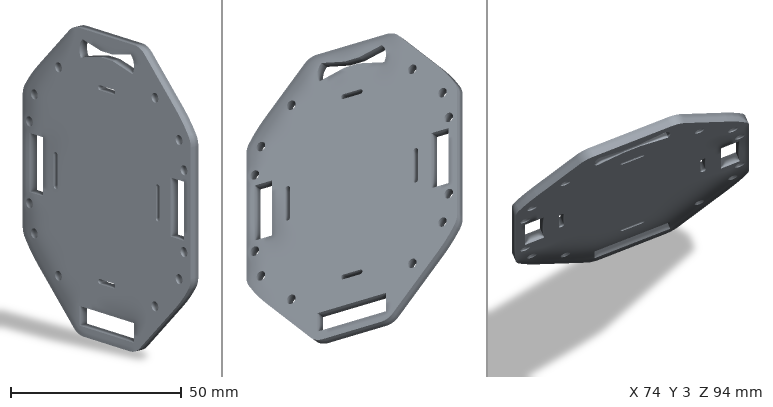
import cadquery as cq
import math

thickness = 3.0
width = 74.0
height = 94
half_width = width / 2
top_z = 46.0
bottom_z = top_z - height
corner_circle_radius = 43.0
blend_radius = 6.0
diagonal_angle = 45
vertical_angle = 90

hole_diameter = 3.0
ring_hole_near = 21.2
ring_hole_far = 31.9
side_hole_x = 34.0
side_hole_z = 12.5

side_window_width = 6.0
side_window_height = 18.05
side_window_x = 31.0
bottom_window_width = 24.0
bottom_window_height = 6.0
bottom_window_margin = 3.0

side_slot_length = 11.3
side_slot_width = 1.7
side_slot_x = 22.5
end_slot_length = 7.5
end_slot_width = 1.5
end_slot_z = 29.6

handle_waist_half_width = 2.5
handle_waist_top_z = 41.0
handle_waist_bottom_z = 39.0
handle_top_corner = (10.6, 42.8)
handle_side_point = (12.0, 39.6)
handle_bottom_corner = (11.4, 36.9)


def back_face_plane():
    """Sketch plane on the back face; extrusions run forward through the plate thickness."""
    return cq.Workplane("XZ", origin=(0, thickness / 2, 0))


def mirrored(point):
    """Reflect a point across the vertical centre line."""
    return (-point[0], point[1])


def below(point):
    """Reflect a point across the horizontal line through the origin."""
    return (point[0], -point[1])


def on_circle(center, radius, degrees):
    """Point of a circle at an angle measured from +X toward +Z."""
    angle = math.radians(degrees)
    return (center[0] + radius * math.cos(angle), center[1] + radius * math.sin(angle))


def end_blend(edge_z):
    """Arc joining a 45 degree edge to the top (edge_z > 0) or bottom edge, on the +X side.

    The returned start, middle and end points run from the 45 degree edge to the horizontal edge.
    """
    side = math.copysign(1, edge_z)
    center_z = abs(edge_z) - blend_radius
    center_x = math.sqrt(2) * (corner_circle_radius - blend_radius) - center_z
    angles = (diagonal_angle, (diagonal_angle + vertical_angle) / 2, vertical_angle)
    return [on_circle((center_x, side * center_z), blend_radius, side * angle) for angle in angles]


def side_blend():
    """Upper arc on the +X side, from the straight side to the large corner arc, and its end angle."""
    center_x = half_width - blend_radius
    center_z = math.sqrt((corner_circle_radius - blend_radius) ** 2 - center_x**2)
    end_angle = math.degrees(math.atan2(center_z, center_x))
    points = [on_circle((center_x, center_z), blend_radius, end_angle * step / 2) for step in range(3)]
    return points, end_angle


def make_plate():
    top_start, top_middle, top_end = end_blend(top_z)
    bottom_start, bottom_middle, bottom_end = end_blend(bottom_z)
    (side_start, side_middle, side_end), side_angle = side_blend()
    corner_middle = on_circle((0, 0), corner_circle_radius, (side_angle + diagonal_angle) / 2)
    corner_end = on_circle((0, 0), corner_circle_radius, diagonal_angle)

    right_half = (
        back_face_plane()
        .moveTo(0, bottom_z)
        .lineTo(*bottom_end)
        .threePointArc(bottom_middle, bottom_start)
        .lineTo(*below(corner_end))
        .threePointArc(below(corner_middle), below(side_end))
        .threePointArc(below(side_middle), below(side_start))
        .lineTo(*side_start)
        .threePointArc(side_middle, side_end)
        .threePointArc(corner_middle, corner_end)
        .lineTo(*top_start)
        .threePointArc(top_middle, top_end)
        .lineTo(0, top_z)
    )
    return right_half.mirrorY().extrude(thickness)


def both_signs(x, z):
    """The four points at plus and minus x and z."""
    return [(sign_x * x, sign_z * z) for sign_x in (-1, 1) for sign_z in (-1, 1)]


def make_holes():
    centers = (
        both_signs(ring_hole_near, ring_hole_far)
        + both_signs(ring_hole_far, ring_hole_near)
        + both_signs(side_hole_x, side_hole_z)
    )
    return back_face_plane().pushPoints(centers).circle(hole_diameter / 2).extrude(thickness)


def make_windows():
    side_windows = (
        back_face_plane()
        .pushPoints([(-side_window_x, 0), (side_window_x, 0)])
        .rect(side_window_width, side_window_height)
        .extrude(thickness)
    )
    bottom_window = (
        back_face_plane()
        .center(0, bottom_z + bottom_window_margin + bottom_window_height / 2)
        .rect(bottom_window_width, bottom_window_height)
        .extrude(thickness)
    )
    return side_windows.union(bottom_window)


def make_slots():
    side_slots = (
        back_face_plane()
        .pushPoints([(-side_slot_x, 0), (side_slot_x, 0)])
        .slot2D(side_slot_length, side_slot_width, 90)
        .extrude(thickness)
    )
    end_slots = (
        back_face_plane()
        .pushPoints([(0, -end_slot_z), (0, end_slot_z)])
        .slot2D(end_slot_length, end_slot_width)
        .extrude(thickness)
    )
    return side_slots.union(end_slots)


def make_handle_opening():
    return (
        back_face_plane()
        .moveTo(-handle_waist_half_width, handle_waist_top_z)
        .lineTo(handle_waist_half_width, handle_waist_top_z)
        .lineTo(*handle_top_corner)
        .threePointArc(handle_side_point, handle_bottom_corner)
        .lineTo(handle_waist_half_width, handle_waist_bottom_z)
        .lineTo(-handle_waist_half_width, handle_waist_bottom_z)
        .lineTo(*mirrored(handle_bottom_corner))
        .threePointArc(mirrored(handle_side_point), mirrored(handle_top_corner))
        .close()
        .extrude(thickness)
    )


result = make_plate().cut(make_holes()).cut(make_windows()).cut(make_slots()).cut(make_handle_opening())